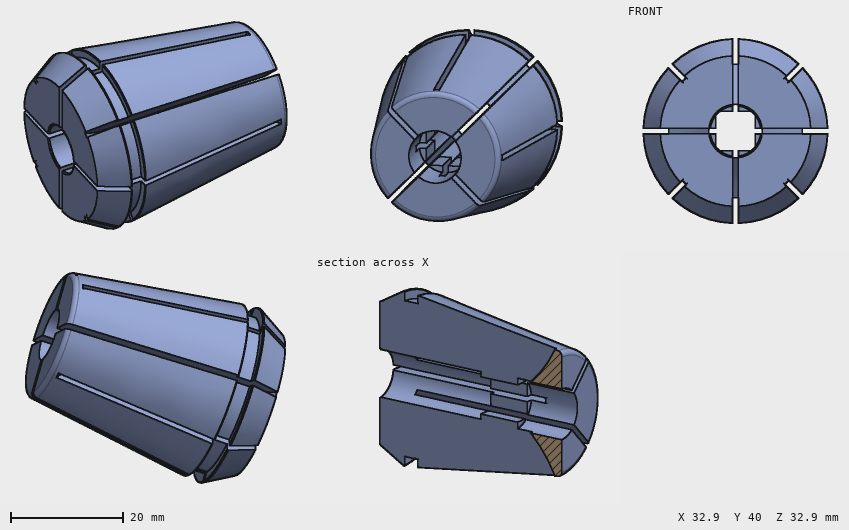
import cadquery as cq
import math

length = 40.0

face_radius = 13.42
flange_radius = 16.45
flange_cone_angle = 30.0
flange_back_y = 5.5
flange_rim_chamfer = 0.12

groove_radius = 14.65
groove_end_y = 8.25

taper_angle = 8.0
taper_large_radius = 16.17
taper_edge_chamfer = 0.15
small_end_fillet = 1.0

bore_radius = 4.5
bore_chamfer = 0.25
square_side = 7.0
square_start_y = 22.0
relief_start_y = 30.0
relief_radius = bore_radius + 0.25

slit_width = 1.0
slit_count = 4
saw_radius = 25.0
saw_center_radius = 23.0
saw_travel_front = 16.0
saw_travel_back = 17.1
overrun = 1.0


def make_body():
    """Revolve the outer profile about the Y axis."""
    flange_front_y = (flange_radius - face_radius) / math.tan(math.radians(flange_cone_angle))
    taper_small_radius = taper_large_radius - (length - groove_end_y) * math.tan(math.radians(taper_angle))
    profile = (
        cq.Workplane("XY")
        .moveTo(0, 0)
        .lineTo(face_radius, 0)
        .lineTo(flange_radius, flange_front_y)
        .lineTo(flange_radius, flange_back_y - flange_rim_chamfer)
        .lineTo(flange_radius - flange_rim_chamfer, flange_back_y)
        .lineTo(groove_radius, flange_back_y)
        .lineTo(groove_radius, groove_end_y)
        .lineTo(taper_large_radius - taper_edge_chamfer, groove_end_y)
        .lineTo(taper_large_radius, groove_end_y + taper_edge_chamfer)
        .lineTo(taper_small_radius, length)
        .lineTo(0, length)
        .close()
    )
    body = profile.revolve(360, (0, 0, 0), (0, 1, 0))
    return body.faces(">Y").edges().fillet(small_end_fillet)


def cylinder_along_y(radius, start_y, end_y):
    return cq.Workplane("XZ", origin=(0, start_y, 0)).circle(radius).extrude(start_y - end_y)


def make_bore():
    """Tool for the bore with its entry chamfer, the square drive and the rear relief."""
    mouth_radius = bore_radius + bore_chamfer
    front = (
        cq.Workplane("XY")
        .polyline(
            [
                (0, 0),
                (mouth_radius, 0),
                (bore_radius, bore_chamfer),
                (bore_radius, square_start_y),
                (0, square_start_y),
            ]
        )
        .close()
        .revolve(360, (0, 0, 0), (0, 1, 0))
    )
    square = (
        cq.Workplane("XY")
        .box(square_side, length, square_side)
        .translate((0, length / 2, 0))
        .intersect(cylinder_along_y(bore_radius, 0, length))
    )
    relief = cylinder_along_y(relief_radius, relief_start_y, length)
    return front.union(square).union(relief)


def make_slit(saw_travel):
    """Radial slit on the +X side, open towards y = 0, with a saw-arc end."""

    def arc_y(radius):
        return saw_travel + math.sqrt(saw_radius**2 - (saw_center_radius - radius) ** 2)

    outer_radius = flange_radius + overrun
    return (
        cq.Workplane("XY")
        .moveTo(0, -overrun)
        .lineTo(outer_radius, -overrun)
        .lineTo(outer_radius, arc_y(outer_radius))
        .threePointArc((outer_radius / 2, arc_y(outer_radius / 2)), (0, arc_y(0)))
        .close()
        .extrude(slit_width / 2, both=True)
    )


def cut_slits(body, slit, start_angle):
    for index in range(slit_count):
        angle = start_angle + index * 360.0 / slit_count
        body = body.cut(slit.rotate((0, 0, 0), (0, 1, 0), angle))
    return body


front_slit = make_slit(saw_travel_front)
back_slit = make_slit(saw_travel_back).mirror("XZ").translate((0, length, 0))

collet = make_body().cut(make_bore())
collet = cut_slits(collet, front_slit, 0.0)
collet = cut_slits(collet, back_slit, 180.0 / slit_count)
result = cq.Workplane("XY").newObject([collet.solids().val()])